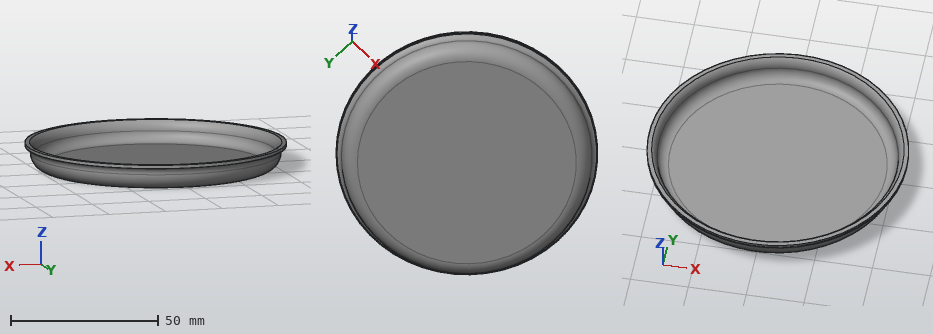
import cadquery as cq
import math

rim_radius = 44.5
height = 9.0
rim_band_height = 1.2
wall = 1.6
floor_radius = 37.2
corner_radius = 5.4
flare_radius = 2.7

waist_z = corner_radius
outer_waist = floor_radius + corner_radius
inner_waist = outer_waist - wall
flare_center = outer_waist + flare_radius
rim_band_z = height - rim_band_height
inner_flare_radius = flare_radius + wall
inner_corner_radius = corner_radius - wall


def corner_midpoint(radius):
    """Middle of a bottom-edge arc, running from the floor to the waist."""
    reach = radius * math.sqrt(0.5)
    return floor_radius + reach, waist_z - reach


def flare_point(radius, angle):
    """Point on a flare arc at an angle above the waist, in radians."""
    return flare_center - radius * math.cos(angle), waist_z + radius * math.sin(angle)


outer_flare_angle = math.asin((rim_band_z - waist_z) / flare_radius)
inner_flare_angle = math.asin((height - waist_z) / inner_flare_radius)

section = (
    cq.Workplane("XZ")
    .moveTo(0, 0)
    .lineTo(floor_radius, 0)
    .threePointArc(corner_midpoint(corner_radius), (outer_waist, waist_z))
    .threePointArc(
        flare_point(flare_radius, outer_flare_angle / 2),
        flare_point(flare_radius, outer_flare_angle),
    )
    .lineTo(rim_radius, rim_band_z)
    .lineTo(rim_radius, height)
    .lineTo(*flare_point(inner_flare_radius, inner_flare_angle))
    .threePointArc(
        flare_point(inner_flare_radius, inner_flare_angle / 2),
        (inner_waist, waist_z),
    )
    .threePointArc(corner_midpoint(inner_corner_radius), (floor_radius, wall))
    .lineTo(0, wall)
    .close()
)

result = section.revolve(360, (0, 0, 0), (0, 1, 0))